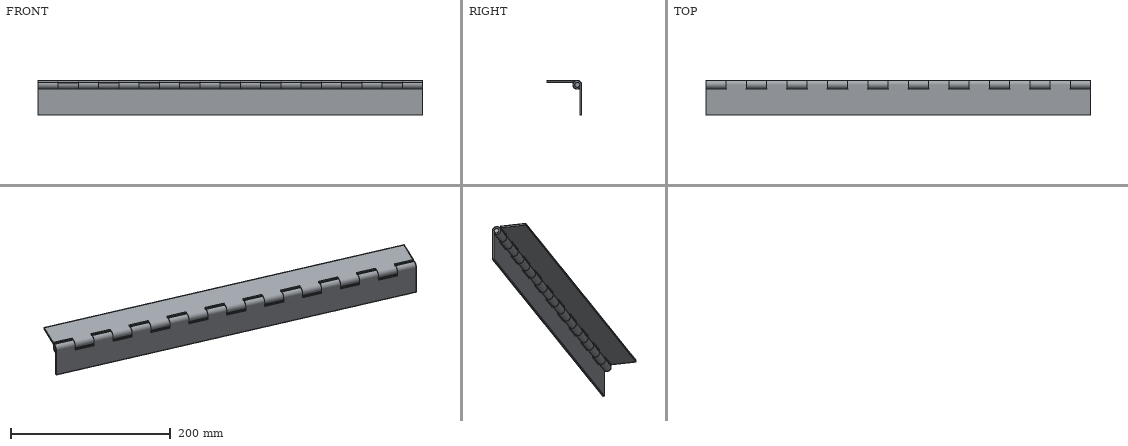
import cadquery as cq
import math

KNUCKLE_LENGTH = 25.4
KNUCKLE_COUNT = 19
PIN_DIAMETER = 6.35
SHEET_THICKNESS = 2.286
LEAF_REACH = 38.1
ROLL_ANGLE = 295.2

HINGE_LENGTH = KNUCKLE_LENGTH * KNUCKLE_COUNT
PIN_RADIUS = PIN_DIAMETER / 2
BARREL_RADIUS = PIN_RADIUS + SHEET_THICKNESS



def around_pin(radius, angle):
    """Point (Y, Z) at `radius` from the pin axis, `angle` degrees from +Y towards +Z."""
    turn = math.radians(angle)
    return (radius * math.cos(turn), radius * math.sin(turn))


def rolled_slice():
    """One knuckle length of a hanging leaf whose upper end is rolled around the pin."""
    return (
        cq.Workplane("YZ")
        .moveTo(PIN_RADIUS, -LEAF_REACH)
        .lineTo(BARREL_RADIUS, -LEAF_REACH)
        .lineTo(BARREL_RADIUS, 0)
        .threePointArc(around_pin(BARREL_RADIUS, ROLL_ANGLE / 2), around_pin(BARREL_RADIUS, ROLL_ANGLE))
        .lineTo(*around_pin(PIN_RADIUS, ROLL_ANGLE))
        .threePointArc(around_pin(PIN_RADIUS, ROLL_ANGLE / 2), (PIN_RADIUS, 0))
        .close()
        .extrude(KNUCKLE_LENGTH)
    )


def notched_slice():
    """One knuckle length of a hanging leaf, cut off level with the bottom of the barrel."""
    return (
        cq.Workplane("YZ")
        .moveTo(PIN_RADIUS, -LEAF_REACH)
        .lineTo(BARREL_RADIUS, -LEAF_REACH)
        .lineTo(BARREL_RADIUS, -BARREL_RADIUS)
        .lineTo(PIN_RADIUS, -BARREL_RADIUS)
        .close()
        .extrude(KNUCKLE_LENGTH)
    )


def hinge_leaf(first_knuckle):
    """Hanging leaf with rolled and notched slices in turn, rolled at slice `first_knuckle`."""
    leaf = cq.Workplane("YZ")
    for index in range(KNUCKLE_COUNT):
        is_rolled = index % 2 == first_knuckle
        leaf_slice = rolled_slice() if is_rolled else notched_slice()
        leaf = leaf.union(leaf_slice.translate((index * KNUCKLE_LENGTH, 0, 0)))
    return leaf.clean()


hanging_leaf = hinge_leaf(first_knuckle=0)

flat_leaf = hinge_leaf(first_knuckle=1).mirror("XZ").rotate((0, 0, 0), (1, 0, 0), -90)

pin = cq.Workplane("YZ").circle(PIN_RADIUS).extrude(HINGE_LENGTH)

result = cq.Compound.makeCompound([hanging_leaf.val(), flat_leaf.val(), pin.val()])